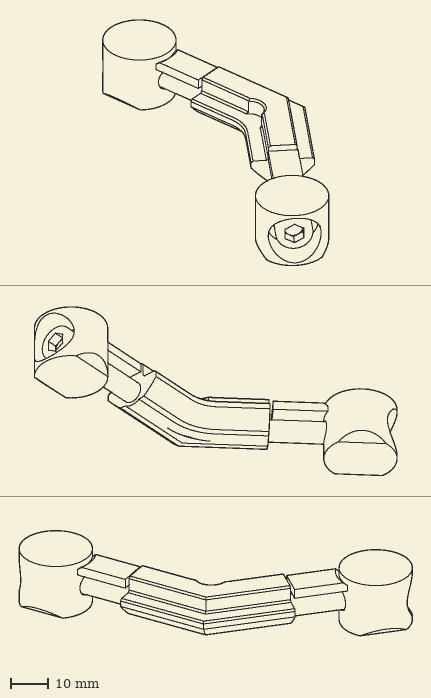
import cadquery as cq
import math


TOTAL_LENGTH = 99.3
BEND_ANGLE = 45.0
HALF_BEND = math.radians(BEND_ANGLE / 2)

CAP_DIAMETER = 19.7
CAP_RADIUS = CAP_DIAMETER / 2
CAP_HEIGHT = 16.0
CAP_CHAMFER = 2.4
COUNTERBORE_DIAMETER = 14.2
CLEARANCE_DIAMETER = 6.6
AXIS_HEIGHT = CAP_HEIGHT / 2
LEG_LENGTH = (TOTAL_LENGTH - CAP_DIAMETER) / (1 + math.cos(2 * HALF_BEND))

KEY_WIDTH = 8.0
KEY_TOP = 15.0
KEY_BOTTOM = 12.3
KEY_REACH = 23.6
KEY_CHAMFER = 1.0

SHANK_DIAMETER = 6.1
SHANK_LENGTH = 37.7
HEAD_DIAMETER = 10.0
HEAD_HEIGHT = 6.4
HEAD_FILLET = 0.6
SOCKET_FLATS = 5.1
SOCKET_DEPTH = 3.0
SOCKET_CONE_DEPTH = 1.4

ELBOW_START = 24.7
BASE_HALF_WIDTH = 8.5
BASE_TOP = 11.4
BASE_SIDE_BOTTOM = 9.2
FLANK_MID = (6.4, 6.9)
FLANK_END = (4.2, 4.9)
KEEL_RADIUS = 4.1
KEEL_HALF_WIDTH = 2.4
RAIL_HALF_WIDTH = 3.9
EDGE_CHAMFER = 0.55
INNER_BEND_RADIUS = 9.9
NOTCH_RADIUS = 4.2
NOTCH_OFFSET = 7.8


def cylinder_along_x(start, length, diameter):
    """Cylinder on the screw axis, from `start` towards +X."""
    return (
        cq.Workplane("YZ", origin=(start, 0, AXIS_HEIGHT))
        .circle(diameter / 2)
        .extrude(length)
    )


def on_second_leg(body):
    """Turn a body about the cap axis and move it to the far end of the second leg."""
    end_x = LEG_LENGTH * (1 + math.cos(2 * HALF_BEND))
    end_y = -LEG_LENGTH * math.sin(2 * HALF_BEND)
    return body.rotate((0, 0, 0), (0, 0, 1), 180 - BEND_ANGLE).translate((end_x, end_y, 0))


def make_key():
    key = (
        cq.Workplane("XY", origin=(0, 0, KEY_BOTTOM))
        .box(KEY_REACH, KEY_WIDTH, KEY_TOP - KEY_BOTTOM, centered=(False, True, False))
    )
    chamfer_ring = (
        cq.Workplane("XZ")
        .moveTo(0, KEY_TOP)
        .lineTo(CAP_RADIUS + KEY_CHAMFER, KEY_TOP)
        .lineTo(CAP_RADIUS, KEY_TOP - KEY_CHAMFER)
        .lineTo(0, KEY_TOP - KEY_CHAMFER)
        .close()
        .revolve(360, (0, 0, 0), (0, 1, 0))
    )
    return key.cut(chamfer_ring)


def make_cap():
    outline = (
        cq.Workplane("YZ", origin=(-CAP_RADIUS, 0, 0))
        .moveTo(-CAP_RADIUS + CAP_CHAMFER, 0)
        .lineTo(CAP_RADIUS - CAP_CHAMFER, 0)
        .lineTo(CAP_RADIUS, CAP_CHAMFER)
        .lineTo(CAP_RADIUS, CAP_HEIGHT)
        .lineTo(-CAP_RADIUS, CAP_HEIGHT)
        .lineTo(-CAP_RADIUS, CAP_CHAMFER)
        .close()
        .extrude(CAP_DIAMETER)
    )
    barrel = cq.Workplane("XY").circle(CAP_RADIUS).extrude(CAP_HEIGHT).intersect(outline)
    counterbore = cylinder_along_x(-CAP_RADIUS, CAP_RADIUS, COUNTERBORE_DIAMETER)
    bore = cylinder_along_x(-CAP_RADIUS, CAP_DIAMETER, CLEARANCE_DIAMETER)
    return barrel.union(make_key()).cut(counterbore).cut(bore)


def make_socket():
    """Hexagon socket with a conical floor, corners up and down."""
    across_corners = SOCKET_FLATS / math.cos(math.radians(30))
    hexagon = (
        cq.Workplane("YZ", origin=(-HEAD_HEIGHT, 0, AXIS_HEIGHT))
        .transformed(rotate=(0, 0, 90))
        .polygon(6, across_corners)
        .extrude(SOCKET_DEPTH)
    )
    cone = cq.Workplane(
        cq.Solid.makeCone(
            SOCKET_FLATS / 2,
            0,
            SOCKET_CONE_DEPTH,
            pnt=cq.Vector(-HEAD_HEIGHT + SOCKET_DEPTH, 0, AXIS_HEIGHT),
            dir=cq.Vector(1, 0, 0),
        )
    )
    return hexagon.union(cone)


def make_screw():
    head = cylinder_along_x(-HEAD_HEIGHT, HEAD_HEIGHT, HEAD_DIAMETER).faces("<X").edges().fillet(HEAD_FILLET)
    shank = cylinder_along_x(0, SHANK_LENGTH, SHANK_DIAMETER)
    return head.union(shank).cut(make_socket())


def half_section(start_x):
    """Section of one half of a leg, on the inner (-Y) side of the screw axis."""
    keel_end = AXIS_HEIGHT - math.sqrt(KEEL_RADIUS**2 - KEEL_HALF_WIDTH**2)
    keel_mid = KEEL_HALF_WIDTH / 2
    keel_mid_height = AXIS_HEIGHT - math.sqrt(KEEL_RADIUS**2 - keel_mid**2)
    return (
        cq.Workplane("YZ", origin=(start_x, 0, 0))
        .moveTo(0, AXIS_HEIGHT - KEEL_RADIUS)
        .threePointArc((-keel_mid, keel_mid_height), (-KEEL_HALF_WIDTH, keel_end))
        .lineTo(-FLANK_END[0], FLANK_END[1])
        .threePointArc((-FLANK_MID[0], FLANK_MID[1]), (-BASE_HALF_WIDTH, BASE_SIDE_BOTTOM))
        .lineTo(-BASE_HALF_WIDTH, BASE_TOP - EDGE_CHAMFER)
        .lineTo(-BASE_HALF_WIDTH + EDGE_CHAMFER, BASE_TOP)
        .lineTo(-RAIL_HALF_WIDTH - EDGE_CHAMFER, BASE_TOP)
        .lineTo(-RAIL_HALF_WIDTH, BASE_TOP + EDGE_CHAMFER)
        .lineTo(-RAIL_HALF_WIDTH, CAP_HEIGHT - EDGE_CHAMFER)
        .lineTo(-RAIL_HALF_WIDTH + EDGE_CHAMFER, CAP_HEIGHT)
        .lineTo(0, CAP_HEIGHT)
        .close()
    )


def make_leg():
    """First leg, cut off along the mitre plane at the bend."""
    overrun = BASE_HALF_WIDTH * math.tan(HALF_BEND)
    inner_half = half_section(ELBOW_START).extrude(LEG_LENGTH + overrun - ELBOW_START)
    bar = inner_half.union(inner_half.mirror("XZ"))
    mitre = (
        cq.Workplane("XY")
        .moveTo(0, BASE_HALF_WIDTH)
        .lineTo(LEG_LENGTH + overrun, BASE_HALF_WIDTH)
        .lineTo(LEG_LENGTH - overrun, -BASE_HALF_WIDTH)
        .lineTo(0, -BASE_HALF_WIDTH)
        .close()
        .extrude(CAP_HEIGHT)
    )
    return bar.intersect(mitre)


def make_inner_bend():
    """Inner half of the section swept round the bend, filling the corner between the legs."""
    pivot_y = -(BASE_HALF_WIDTH + INNER_BEND_RADIUS)
    start_x = LEG_LENGTH + pivot_y * math.tan(HALF_BEND)
    return half_section(start_x).revolve(BEND_ANGLE, (pivot_y, 0, 0), (pivot_y, -1, 0))


def make_notch():
    """Round notch in the rail on the inside of the bend, with a chamfered upper edge."""
    center_x = LEG_LENGTH - NOTCH_OFFSET * math.sin(HALF_BEND)
    center_y = -NOTCH_OFFSET * math.cos(HALF_BEND)
    return (
        cq.Workplane("XZ")
        .lineTo(NOTCH_RADIUS, 0)
        .lineTo(NOTCH_RADIUS, CAP_HEIGHT - BASE_TOP - EDGE_CHAMFER)
        .lineTo(NOTCH_RADIUS + EDGE_CHAMFER, CAP_HEIGHT - BASE_TOP)
        .lineTo(0, CAP_HEIGHT - BASE_TOP)
        .close()
        .revolve(360, (0, 0, 0), (0, 1, 0))
        .translate((center_x, center_y, BASE_TOP))
    )


def make_elbow():
    leg = make_leg()
    body = leg.union(on_second_leg(leg.mirror("XZ"))).union(make_inner_bend()).cut(make_notch())
    bore = cylinder_along_x(0, SHANK_LENGTH, SHANK_DIAMETER)
    return body.cut(bore).cut(on_second_leg(bore))


elbow = make_elbow()
cap = make_cap()
screw = make_screw()

end_solids = []
for end_body in (cap, screw):
    for placed in (end_body, on_second_leg(end_body)):
        end_solids.extend(placed.solids().vals())

result = cq.Compound.makeCompound([*elbow.solids().vals(), *end_solids])